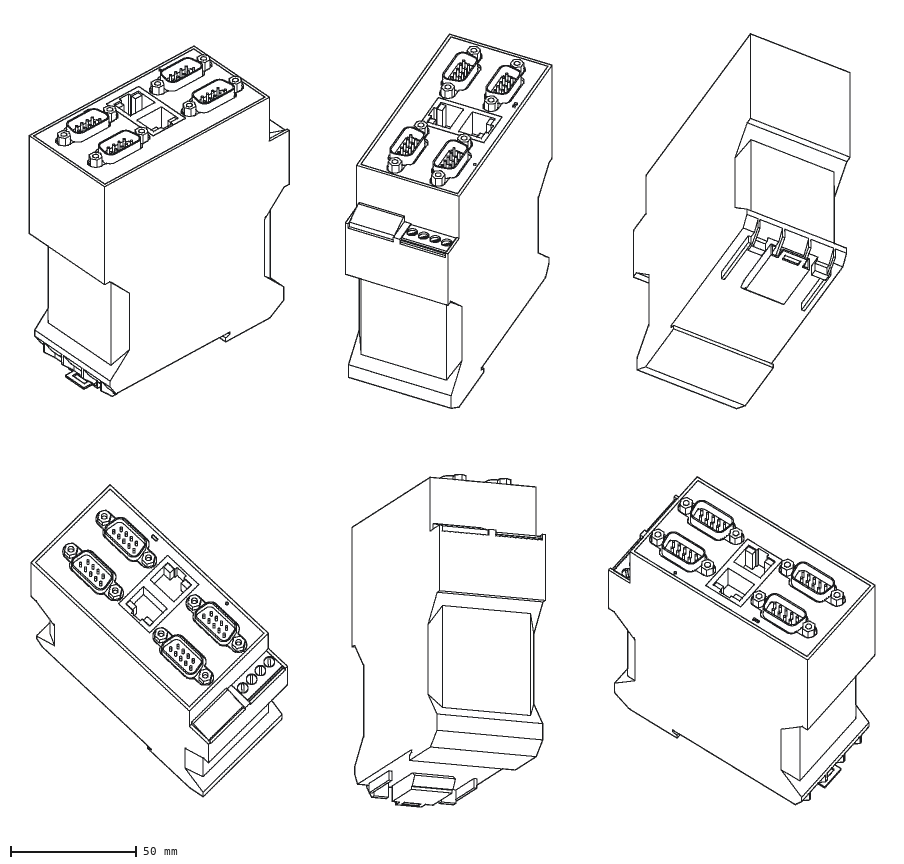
import cadquery as cq
import math

WIDTH = 45.2
DEPTH = 99.0
HEIGHT = 117.5
HALF_W = WIDTH / 2
HALF_D = DEPTH / 2

PANEL_Z = 113.7
STEP_Z = 91.6
STEP_Y = 38.9
SHOULDER_Z = 64.5
SHOULDER_Y = 46.8
WAIST_Y = 36.3
WAIST_TOP_Z = 53.6
WAIST_BOTTOM_Z = 25.0
FOOT_Y = 46.5
FOOT_TOP_Z = 14.5
BASE_Z = 6.5

WAIST_CORE_Y = 42.8
WAIST_CORE_HALF_W = 18.8

HOOK_BOTTOM_Z = 2.6
HOOK_CORNER_Y = 39.1
HOOK_CORNER_Z = 7.8
HOOK_TIP_Y = 15.4
HOOK_TIP_Z = 4.6
HOOK_ROOT_Y = 17.6
HOOK_ROOT_Z = 5.4

BEVEL_Z = 11.4
BEVEL_END_Y = -43.4
PLATE_BOTTOM_Z = 0.9
PLATE_FRONT_Y = -40.9
PLATE_BACK_Y = -38.1
LIP_Z = 5.2
LIP_Y = BEVEL_END_Y + (BASE_Z - LIP_Z) * (BEVEL_END_Y + FOOT_Y) / (BEVEL_Z - BASE_Z)
OUTER_RIB = (16.7, 17.5)
INNER_RIB = (5.4, 6.5)
LEG_INNER_X = 11.3
GUIDE = (17.5, 18.8)
GUIDE_BACK_Y = -18.0
GUIDE_FRONT_Y = -40.5

LATCH_HALF_W = 8.7
LATCH_WALL = 0.7
LATCH_NOSE_Y = -15.4
LATCH_NOSE_Z = 4.9
LATCH_NECK_Y = -18.3
LATCH_NECK_Z = 1.2
LATCH_PLATE_Y = -19.3
LATCH_PLATE_T = 0.8
LATCH_RECESS = 4.7
LOOP_END_Y = -45.4
LOOP_HALF_W = 5.5
LOOP_BAR = 2.0

RIM = 1.3
SEAM = 0.1
FACE_Z = PANEL_Z - SEAM

DSUB_X = (-10.9, 8.1)
DSUB_PITCH_Y = 50.3
DSUB_MID_Y = -3.9
DSUB_FLOOR_Z = 112.3
SHELL_LEFT = -4.7
SHELL_RIGHT = 4.9
SHELL_HALF_LENGTH = 9.5
SHELL_RADIUS = 2.9
SHELL_WALL = 0.6
OPENING_LEFT = -5.9
OPENING_RIGHT = 5.3
OPENING_HALF_LENGTH = 10.2
FLARE = math.tan(math.radians(10))
NUT_OFFSET = 12.3
NUT_FLATS = 4.7
NUT_TOP_Z = 116.8
NUT_BORE = 2.4
NUT_BORE_DEPTH = 3.5
LOBE_RADIUS = 3.3
PIN_DIAMETER = 0.9
PIN_TOP_Z = 116.1
PIN_PITCH = 2.8
PIN_COLUMNS = ((-1.4, 4), (1.4, 5))

JACK_X = -3.6
JACK_BLOCK = (28.1, 17.4)
JACK_OPENING = (10.0, 13.2)
JACK_OFFSET = 6.9
JACK_DEPTH = 11.8
JACK_NOTCH_DEPTH = 1.2
JACK_NOTCH_LENGTH = 4.9
JACK_CORNER = (2.2, 3.5)
JACK_CORNER_DROP = 0.9

LED_X, LED_Y = -20.0, 18.3
LED_DIAMETER = 1.0
SWITCH_X, SWITCH_Y = -19.3, -21.4
SWITCH_SIZE = (1.0, 2.7)
SMALL_HOLE_DEPTH = 0.9

BAY_LEFT = (-21.4, -1.4)
BAY_RIGHT = (1.5, 21.4)
BAY_FRONT_Y = 48.4
BAY_LEDGE_Z = 89.3
TERMINAL_Z = 91.2
TERMINAL_STEP_Y = 47.8
TERMINAL_STEP_DROP = 0.9
SCREW_PITCH = 5.0
SCREW_COUNT = 4
SCREW_Y = 42.9
SCREW_DIAMETER = 4.2
SCREW_SINK = 0.9
SCREW_SLOT = 0.8
SCREW_SLOT_DEPTH = 0.6
WEDGE_TOP_Y = 39.8
WEDGE_TOP_Z = 94.6


def box(x, y, z):
    """Box from (low, high) pairs along each axis."""
    size = (x[1] - x[0], y[1] - y[0], z[1] - z[0])
    return cq.Workplane("XY").box(*size, centered=False).translate((x[0], y[0], z[0]))


def slab(points, x):
    """Side profile of (y, z) points, extruded between two X positions."""
    return cq.Workplane("YZ").workplane(offset=x[0]).polyline(points).close().extrude(x[1] - x[0])


def both_sides(solid):
    return solid.union(solid.mirror("YZ"))


def disc(x, y, diameter, z):
    return cq.Workplane("XY").workplane(offset=z[0]).center(x, y).circle(diameter / 2).extrude(z[1] - z[0])


def housing():
    profile = [
        (-HALF_D, PANEL_Z), (STEP_Y, PANEL_Z), (STEP_Y, STEP_Z), (HALF_D, STEP_Z),
        (HALF_D, SHOULDER_Z), (SHOULDER_Y, SHOULDER_Z), (WAIST_Y, WAIST_TOP_Z),
        (WAIST_Y, WAIST_BOTTOM_Z), (FOOT_Y, FOOT_TOP_Z), (FOOT_Y, HOOK_CORNER_Z),
        (HOOK_CORNER_Y, HOOK_BOTTOM_Z), (HOOK_TIP_Y, HOOK_BOTTOM_Z), (HOOK_TIP_Y, HOOK_TIP_Z),
        (HOOK_ROOT_Y, HOOK_ROOT_Z), (HOOK_ROOT_Y, BASE_Z), (BEVEL_END_Y, BASE_Z),
        (-FOOT_Y, BEVEL_Z), (-FOOT_Y, FOOT_TOP_Z), (-WAIST_Y, WAIST_BOTTOM_Z),
        (-WAIST_Y, WAIST_TOP_Z), (-SHOULDER_Y, SHOULDER_Z), (-HALF_D, SHOULDER_Z),
    ]
    waist_plan = [
        (-HALF_W, -WAIST_Y), (-WAIST_CORE_HALF_W, -WAIST_CORE_Y),
        (WAIST_CORE_HALF_W, -WAIST_CORE_Y), (HALF_W, -WAIST_Y),
        (HALF_W, WAIST_Y), (WAIST_CORE_HALF_W, WAIST_CORE_Y),
        (-WAIST_CORE_HALF_W, WAIST_CORE_Y), (-HALF_W, WAIST_Y),
    ]
    waist = cq.Workplane("XY").workplane(offset=FOOT_TOP_Z).polyline(waist_plan).close()
    return slab(profile, (-HALF_W, HALF_W)).union(waist.extrude(SHOULDER_Z - FOOT_TOP_Z))


def front_foot():
    rib = [
        (-FOOT_Y, BEVEL_Z), (-FOOT_Y, BASE_Z), (PLATE_FRONT_Y, PLATE_BOTTOM_Z),
        (PLATE_BACK_Y, PLATE_BOTTOM_Z), (PLATE_BACK_Y, BEVEL_Z),
    ]
    leg = [
        (BEVEL_END_Y, BASE_Z), (LIP_Y, LIP_Z), (PLATE_FRONT_Y, LIP_Z),
        (PLATE_FRONT_Y, PLATE_BOTTOM_Z), (PLATE_BACK_Y, PLATE_BOTTOM_Z), (PLATE_BACK_Y, BASE_Z),
    ]
    guide = box(GUIDE, (GUIDE_FRONT_Y, GUIDE_BACK_Y), (HOOK_BOTTOM_Z, BASE_Z))
    side_parts = (
        slab(rib, OUTER_RIB)
        .union(slab(rib, INNER_RIB))
        .union(slab(leg, (LEG_INNER_X, OUTER_RIB[0])))
        .union(guide)
    )
    return both_sides(side_parts).union(slab(leg, (-INNER_RIB[0], INNER_RIB[0])))


def latch():
    profile = [
        (GUIDE_BACK_Y, BASE_Z), (LATCH_NOSE_Y, LATCH_NOSE_Z), (LATCH_NECK_Y, LATCH_NECK_Z),
        (LATCH_PLATE_Y, LATCH_NECK_Z), (LATCH_PLATE_Y, 0), (PLATE_FRONT_Y, 0), (PLATE_FRONT_Y, BASE_Z),
    ]
    body = slab(profile, (-LATCH_HALF_W, LATCH_HALF_W))
    inner_half_w = LATCH_HALF_W - LATCH_WALL
    recess = box(
        (-inner_half_w, inner_half_w),
        (PLATE_FRONT_Y, PLATE_FRONT_Y + LATCH_RECESS),
        (LATCH_PLATE_T, BASE_Z - LATCH_WALL),
    )
    loop = box((-LOOP_HALF_W, LOOP_HALF_W), (LOOP_END_Y, PLATE_FRONT_Y), (0, LATCH_PLATE_T))
    window_half_w = LOOP_HALF_W - LOOP_BAR
    window = box((-window_half_w, window_half_w), (LOOP_END_Y + LOOP_BAR, PLATE_FRONT_Y), (0, LATCH_PLATE_T))
    return body.cut(recess).union(loop.cut(window))


def d_shape(left, right, half_length, radius, z):
    """D-sub outline: the left side is shorter because the ends flare by 10 degrees."""
    short = half_length - (right - left) * FLARE
    outline = [(left, -short), (right, -half_length), (right, half_length), (left, short)]
    block = cq.Workplane("XY").workplane(offset=z[0]).polyline(outline).close().extrude(z[1] - z[0])
    return block.edges("|Z").fillet(radius)


def dsub_opening():
    z = (DSUB_FLOOR_Z, PANEL_Z)
    lobes = (
        cq.Workplane("XY").workplane(offset=z[0])
        .slot2D(2 * (NUT_OFFSET + LOBE_RADIUS), 2 * LOBE_RADIUS, 90).extrude(z[1] - z[0])
    )
    return lobes.union(d_shape(OPENING_LEFT, OPENING_RIGHT, OPENING_HALF_LENGTH, SHELL_RADIUS, z))


def dsub_connector():
    z = (DSUB_FLOOR_Z, HEIGHT)
    inner = d_shape(
        SHELL_LEFT + SHELL_WALL, SHELL_RIGHT - SHELL_WALL,
        SHELL_HALF_LENGTH - SHELL_WALL, SHELL_RADIUS - SHELL_WALL, z,
    )
    connector = d_shape(SHELL_LEFT, SHELL_RIGHT, SHELL_HALF_LENGTH, SHELL_RADIUS, z).cut(inner)
    for column_x, count in PIN_COLUMNS:
        for i in range(count):
            pin_y = (i - (count - 1) / 2) * PIN_PITCH
            connector = connector.union(disc(column_x, pin_y, PIN_DIAMETER, (DSUB_FLOOR_Z, PIN_TOP_Z)))
    nut = (
        cq.Workplane("XY").workplane(offset=DSUB_FLOOR_Z)
        .polygon(6, NUT_FLATS, circumscribed=True).extrude(NUT_TOP_Z - DSUB_FLOOR_Z)
        .cut(disc(0, 0, NUT_BORE, (NUT_TOP_Z - NUT_BORE_DEPTH, NUT_TOP_Z)))
    )
    for side in (-1, 1):
        connector = connector.union(nut.translate((0, side * NUT_OFFSET, 0)))
    return connector


def jack_cavity():
    """Socket on the +X side of the jack block, notched on its outer side."""
    length_x, length_y = JACK_OPENING
    inner_x = JACK_OFFSET - length_x / 2
    outer_x = JACK_OFFSET + length_x / 2
    half_y = length_y / 2
    half_notch = JACK_NOTCH_LENGTH / 2
    z = (PANEL_Z - JACK_DEPTH, PANEL_Z)
    cavity = box((inner_x, outer_x), (-half_y, half_y), z)
    cavity = cavity.union(box((inner_x, outer_x + JACK_NOTCH_DEPTH), (-half_notch, half_notch), z))
    corner_x, corner_y = JACK_CORNER
    corner_z = (z[0], FACE_Z - JACK_CORNER_DROP)
    corner = box((outer_x - corner_x, outer_x), (half_y - corner_y, half_y), corner_z)
    return cavity.cut(corner).cut(corner.mirror("XZ"))


def top_panel_cuts():
    inset = box((RIM - HALF_W, HALF_W - RIM), (RIM - HALF_D, STEP_Y - RIM), (FACE_Z, PANEL_Z))
    block = cq.Workplane("XY").box(*JACK_BLOCK, 2 * SEAM).translate((JACK_X, DSUB_MID_Y, FACE_Z))
    jacks = both_sides(jack_cavity()).translate((JACK_X, DSUB_MID_Y, 0))
    led = disc(LED_X, LED_Y, LED_DIAMETER, (FACE_Z - SMALL_HOLE_DEPTH, PANEL_Z))
    switch = cq.Workplane("XY").box(*SWITCH_SIZE, 2 * SMALL_HOLE_DEPTH)
    switch = switch.translate((SWITCH_X, SWITCH_Y, FACE_Z))
    return inset.union(block).union(jacks).union(led).union(switch)


def left_bay_cut():
    """Sunken terminal block with four slotted screws stepping down to the ledge behind it."""
    cut = box(BAY_LEFT, (STEP_Y, HALF_D), (TERMINAL_Z, STEP_Z))
    cut = cut.union(box(BAY_LEFT, (BAY_FRONT_Y, HALF_D), (BAY_LEDGE_Z, STEP_Z)))
    step_z = TERMINAL_Z - TERMINAL_STEP_DROP
    cut = cut.union(box(BAY_LEFT, (TERMINAL_STEP_Y, HALF_D), (step_z, STEP_Z)))
    head_z = TERMINAL_Z - SCREW_SINK
    slot = (
        cq.Workplane("XY").box(SCREW_DIAMETER, SCREW_SLOT, 2 * SCREW_SLOT_DEPTH)
        .rotate((0, 0, 0), (0, 0, 1), 45)
    )
    for i in range(SCREW_COUNT):
        screw_x = sum(BAY_LEFT) / 2 + (i - (SCREW_COUNT - 1) / 2) * SCREW_PITCH
        cut = cut.union(disc(screw_x, SCREW_Y, SCREW_DIAMETER, (head_z, TERMINAL_Z)))
        cut = cut.union(slot.translate((screw_x, SCREW_Y, head_z)))
    return cut


def right_bay_wedge():
    profile = [
        (STEP_Y, STEP_Z), (BAY_FRONT_Y, STEP_Z),
        (WEDGE_TOP_Y, WEDGE_TOP_Z), (STEP_Y, WEDGE_TOP_Z),
    ]
    return slab(profile, BAY_RIGHT)


result = housing().union(front_foot()).union(latch())
result = result.cut(top_panel_cuts())

for connector_x in DSUB_X:
    for row in (-0.5, 0.5):
        place = (connector_x, DSUB_MID_Y + row * DSUB_PITCH_Y, 0)
        result = result.cut(dsub_opening().translate(place))
        result = result.union(dsub_connector().translate(place))

result = result.cut(left_bay_cut())
result = result.cut(box(BAY_RIGHT, (BAY_FRONT_Y, HALF_D), (BAY_LEDGE_Z, STEP_Z)))
result = result.union(right_bay_wedge())